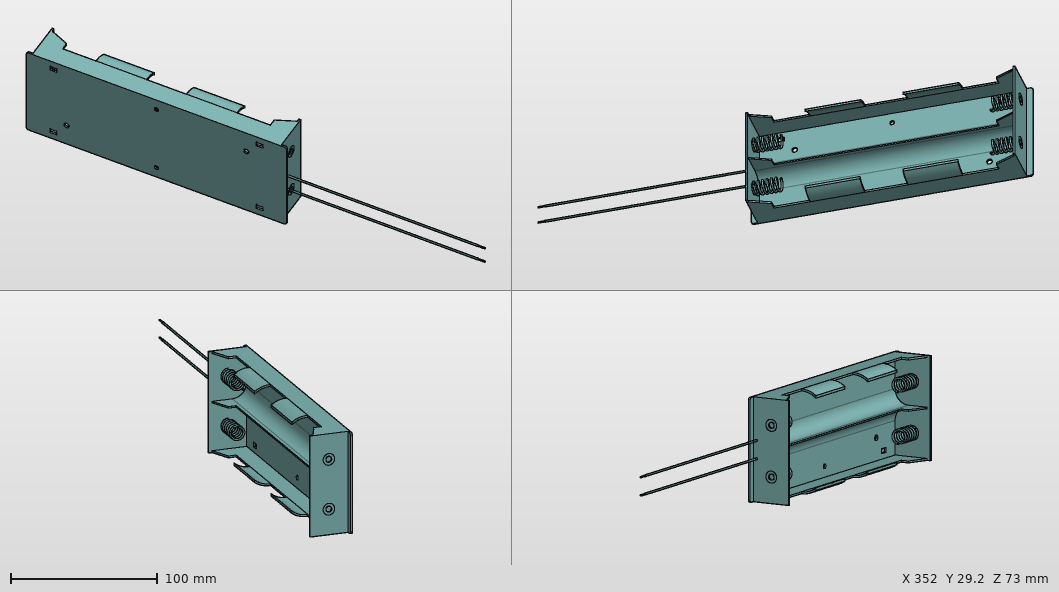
import cadquery as cq
import math


TOTAL_LENGTH = 352.0
TRAY_DEPTH = 29.2
TRAY_WIDTH = 73.0

PLATE_LENGTH = 201.0
PLATE_CORNER_RADIUS = 2.0
WALL = 1.5
END_FLANGE = 4.5
PLATE_LEFT = -TOTAL_LENGTH / 2
PLATE_MIDDLE = PLATE_LEFT + PLATE_LENGTH / 2

BOX_LENGTH = PLATE_LENGTH - 2 * END_FLANGE
BOX_LEFT = PLATE_LEFT + END_FLANGE
BOX_RIGHT = BOX_LEFT + BOX_LENGTH
SIDE_WALL_HEIGHT = 14.8
GUSSET_LENGTH = 16.0
GUSSET_HIGH = 26.7
GUSSET_LOW = 20.5
DIVIDER_THICKNESS = 1.0
DIVIDER_FILLET = 10.5

ROW_OFFSET = 18.0
CELL_AXIS_HEIGHT = 15.5
CLIP_RADIUS = TRAY_WIDTH / 2 - ROW_OFFSET
CLIP_TOP = 26.5
CLIP_LENGTH = 39.0
CLIP_OFFSET = 35.0

SLOT_LENGTH = 5.3
SLOT_WIDTH = 3.0
SLOT_X = 79.5
SLOT_Z = 29.5
MIDDLE_HOLE_DIAMETER = 3.0
MIDDLE_HOLE_Z = 27.5
CORNER_HOLE_DIAMETER = 4.0
CORNER_HOLE_X = 69.3
CORNER_HOLE_Z = 19.0

RIVET_RADIUS = 4.2
RIVET_STUB = 1.5
RIVET_BORE_RADIUS = 2.0
RIVET_BORE_DEPTH = 1.0
SPRING_WIRE = 1.5
SPRING_RADIUS = 4.5
SPRING_REACH = 21.8
SPRING_TURNS = 6

LEAD_DIAMETER = 1.5
LEAD_Z = 6.5
LEAD_HEIGHT = 4.0
BARE_DIAMETER = 1.0
BARE_LENGTH = 5.3


def full_width_block(length, depth, left):
    """Block across the whole tray, from X = left and from the back of the tray."""
    return (
        cq.Workplane("XY")
        .box(length, depth, TRAY_WIDTH, centered=(False, False, True))
        .translate((left, 0, 0))
    )


def x_cylinder(radius, length, left, height, z):
    """Cylinder along +X that starts at X = left."""
    start = cq.Vector(left, height, z)
    return cq.Workplane(cq.Solid.makeCylinder(radius, length, start, cq.Vector(1, 0, 0)))


def plate():
    """Rectangular back plate with rounded corners."""
    return (
        full_width_block(PLATE_LENGTH, WALL, PLATE_LEFT)
        .edges("|Y")
        .fillet(PLATE_CORNER_RADIUS)
    )


def lengthwise_wall(thickness, middle_z):
    """Wall along X: low in the middle, rising through a sloped gusset at each end."""
    profile = [
        (BOX_LEFT, 0),
        (BOX_RIGHT, 0),
        (BOX_RIGHT, GUSSET_HIGH),
        (BOX_RIGHT - WALL, GUSSET_HIGH),
        (BOX_RIGHT - GUSSET_LENGTH, GUSSET_LOW),
        (BOX_RIGHT - GUSSET_LENGTH, SIDE_WALL_HEIGHT),
        (BOX_LEFT + GUSSET_LENGTH, SIDE_WALL_HEIGHT),
        (BOX_LEFT + GUSSET_LENGTH, GUSSET_LOW),
        (BOX_LEFT + WALL, GUSSET_HIGH),
        (BOX_LEFT, GUSSET_HIGH),
    ]
    return (
        cq.Workplane("XY", origin=(0, 0, middle_z - thickness / 2))
        .polyline(profile)
        .close()
        .extrude(thickness)
    )


def divider_foot():
    """Concave flare on both sides of the divider where it meets the plate."""
    half = DIVIDER_THICKNESS / 2
    reach = half + DIVIDER_FILLET
    top = WALL + DIVIDER_FILLET
    mid_offset = DIVIDER_FILLET * (1 - math.sqrt(0.5))
    return (
        cq.Workplane("YZ", origin=(BOX_LEFT, 0, 0))
        .moveTo(WALL, -reach)
        .threePointArc((WALL + mid_offset, -half - mid_offset), (top, -half))
        .lineTo(top, half)
        .threePointArc((WALL + mid_offset, half + mid_offset), (WALL, reach))
        .close()
        .extrude(BOX_LENGTH)
    )


def clip(middle_x, side):
    """Thin curved lip that carries a side wall on around the cell."""
    def arc_point(radius, height):
        rise = height - CELL_AXIS_HEIGHT
        return (height, side * (ROW_OFFSET + math.sqrt(radius**2 - rise**2)))

    outer = CLIP_RADIUS
    inner = CLIP_RADIUS - WALL
    middle_height = (SIDE_WALL_HEIGHT + CLIP_TOP) / 2
    return (
        cq.Workplane("YZ", origin=(middle_x - CLIP_LENGTH / 2, 0, 0))
        .moveTo(*arc_point(outer, SIDE_WALL_HEIGHT))
        .threePointArc(arc_point(outer, middle_height), arc_point(outer, CLIP_TOP))
        .lineTo(*arc_point(inner, CLIP_TOP))
        .threePointArc(arc_point(inner, middle_height), arc_point(inner, SIDE_WALL_HEIGHT))
        .close()
        .extrude(CLIP_LENGTH)
    )


def plate_cutters():
    """Mounting slots and round holes through the plate."""
    through = cq.Workplane("XZ", origin=(PLATE_MIDDLE, 0, 0))
    slots = (
        through.rect(2 * SLOT_X, 2 * SLOT_Z, forConstruction=True)
        .vertices()
        .rect(SLOT_LENGTH, SLOT_WIDTH)
        .extrude(-WALL)
    )
    middle_holes = (
        through.pushPoints([(0, MIDDLE_HOLE_Z), (0, -MIDDLE_HOLE_Z)])
        .circle(MIDDLE_HOLE_DIAMETER / 2)
        .extrude(-WALL)
    )
    corner_holes = (
        through.pushPoints([(CORNER_HOLE_X, CORNER_HOLE_Z), (-CORNER_HOLE_X, -CORNER_HOLE_Z)])
        .circle(CORNER_HOLE_DIAMETER / 2)
        .extrude(-WALL)
    )
    return [slots, middle_holes, corner_holes]


def make_housing():
    """Tray with walls, divider and clips, pierced for screws, terminals and leads."""
    housing = plate()
    for left in (BOX_LEFT, BOX_RIGHT - WALL):
        housing = housing.union(full_width_block(WALL, TRAY_DEPTH, left))
    for side in (-1, 1):
        housing = housing.union(lengthwise_wall(WALL, side * (TRAY_WIDTH - WALL) / 2))
        for offset in (-CLIP_OFFSET, CLIP_OFFSET):
            housing = housing.union(clip(PLATE_MIDDLE + offset, side))
    housing = housing.union(lengthwise_wall(DIVIDER_THICKNESS, 0)).union(divider_foot())

    for cutter in plate_cutters():
        housing = housing.cut(cutter)
    for side in (-1, 1):
        for left in (BOX_LEFT, BOX_RIGHT - WALL):
            rivet_hole = x_cylinder(RIVET_RADIUS, WALL, left, CELL_AXIS_HEIGHT, side * ROW_OFFSET)
            housing = housing.cut(rivet_hole)
        lead_hole = x_cylinder(LEAD_DIAMETER / 2, WALL, BOX_RIGHT - WALL, LEAD_HEIGHT, side * LEAD_Z)
        housing = housing.cut(lead_hole)
    return housing


def make_terminal():
    """Bored rivet and coil spring along +X; the outer rivet face is at the origin."""
    rivet = x_cylinder(RIVET_RADIUS, WALL + RIVET_STUB, 0, 0, 0)
    bore = x_cylinder(RIVET_BORE_RADIUS, RIVET_BORE_DEPTH, 0, 0, 0)

    coil_start = WALL + SPRING_WIRE / 2
    coil_height = SPRING_REACH - SPRING_WIRE / 2 - coil_start
    helix = cq.Wire.makeHelix(coil_height / SPRING_TURNS, coil_height, SPRING_RADIUS)
    coil = (
        cq.Workplane("XZ", origin=(SPRING_RADIUS, 0, 0))
        .circle(SPRING_WIRE / 2)
        .sweep(cq.Workplane(helix), isFrenet=True)
        .rotate((0, 0, 0), (0, 1, 0), 90)
        .translate((coil_start, 0, 0))
    )
    return rivet.cut(bore).union(coil)


def make_terminals():
    """One terminal in each end wall for each row of cells."""
    left_terminal = make_terminal()
    right_terminal = left_terminal.rotate((0, 0, 0), (0, 1, 0), 180)
    terminals = []
    for side in (-1, 1):
        for terminal, wall_face in ((left_terminal, BOX_LEFT), (right_terminal, BOX_RIGHT)):
            terminals.append(terminal.translate((wall_face, CELL_AXIS_HEIGHT, side * ROW_OFFSET)))
    return terminals


def make_lead(side):
    """Insulated lead from the inside of the +X end wall to its stripped end."""
    left = BOX_RIGHT - WALL
    length = TOTAL_LENGTH / 2 - BARE_LENGTH - left
    return x_cylinder(LEAD_DIAMETER / 2, length, left, LEAD_HEIGHT, side * LEAD_Z)


def make_bare_end(side):
    """Bare conductor beyond the insulation."""
    left = TOTAL_LENGTH / 2 - BARE_LENGTH
    return x_cylinder(BARE_DIAMETER / 2, BARE_LENGTH, left, LEAD_HEIGHT, side * LEAD_Z)


housing = make_housing()
terminals = make_terminals()
leads = [make_lead(side) for side in (-1, 1)]
bare_ends = [make_bare_end(side) for side in (-1, 1)]

result = cq.Compound.makeCompound(
    [body.val() for body in [housing, *terminals, *leads, *bare_ends]]
)